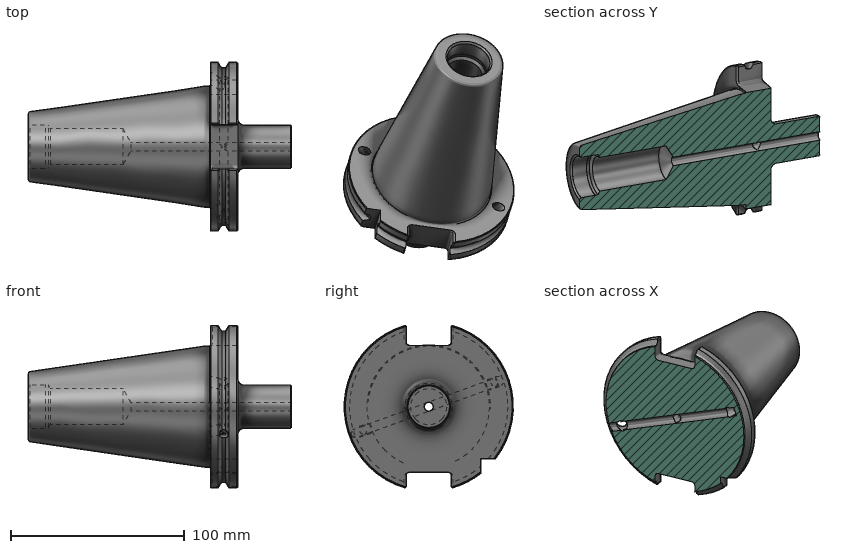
import cadquery as cq
import math

TOTAL_LENGTH = 151.6

GAUGE_LENGTH = 101.7
GAUGE_RADIUS = 69.9 / 2
TAPER = 7 / 24
SMALL_END_RADIUS = GAUGE_RADIUS - GAUGE_LENGTH * TAPER / 2
SMALL_END_FILLET = 1.8

FLANGE_START = 104.9
FLANGE_END = 120.8
FLANGE_LENGTH = FLANGE_END - FLANGE_START
FLANGE_RADIUS = 97.5 / 2
FLANGE_FRONT_CHAMFER = 0.5
FLANGE_REAR_CHAMFER = 0.8
COLLAR_FILLET = 0.6
GROOVE_START = 109.3
GROOVE_END = 115.7
GROOVE_DEPTH = 3.2
GROOVE_FRONT_CHAMFER = 0.9
GROOVE_REAR_CHAMFER = 0.5
GROOVE_WALL_SLOPE = math.tan(math.radians(30))

SPIGOT_RADIUS = 25.0 / 2
SPIGOT_CHAMFER = 0.6
SPIGOT_ROOT_RADIUS = 3.5

BORE_MOUTH_CHAMFER = 1.0
BORE_RADIUS = 25.0 / 2
BORE_DEPTH = 10.0
PILOT_RADIUS = 24.7 / 2
PILOT_END = 11.7
THREAD_RADIUS = 20.8 / 2
THREAD_END = 54.6
COOLANT_RADIUS = 5.0 / 2
CONE_SLOPE = math.tan(math.radians(30))

SLOT_WIDTH = 25.8
SLOT_FLOOR_TOP = 35.3
SLOT_FLOOR_BOTTOM = 37.7
SLOT_CORNER_FILLET = 2.0
SLOT_FACE_BEVEL = 1.2
SLOT_RIM_BEVEL = 0.8
NOTCH_OFFSET = 30.0

CHANNEL_ANGLE = 20.0
FACE_HOLE_DISTANCE = 42.0
FACE_HOLE_DIAMETER = 6.0
FACE_HOLE_TILT = 33.0
CROSS_HOLE_DIAMETER = 5.0
CROSS_HOLE_X = 112.6


def make_turned_body():
    groove_radius = FLANGE_RADIUS - GROOVE_DEPTH
    front_corner_drop = GROOVE_DEPTH - GROOVE_FRONT_CHAMFER
    front_corner_x = GROOVE_START + front_corner_drop * GROOVE_WALL_SLOPE
    rear_corner_drop = GROOVE_DEPTH - GROOVE_REAR_CHAMFER
    rear_corner_x = GROOVE_END - rear_corner_drop * GROOVE_WALL_SLOPE
    collar_45 = COLLAR_FILLET * (1 - math.sqrt(0.5))
    root_45 = SPIGOT_ROOT_RADIUS * (1 - math.sqrt(0.5))
    outline = (
        cq.Workplane("XZ")
        .lineTo(0, SMALL_END_RADIUS)
        .lineTo(GAUGE_LENGTH, GAUGE_RADIUS)
        .lineTo(FLANGE_START - COLLAR_FILLET, GAUGE_RADIUS)
        .threePointArc(
            (FLANGE_START - collar_45, GAUGE_RADIUS + collar_45),
            (FLANGE_START, GAUGE_RADIUS + COLLAR_FILLET),
        )
        .lineTo(FLANGE_START, FLANGE_RADIUS - FLANGE_FRONT_CHAMFER)
        .lineTo(FLANGE_START + FLANGE_FRONT_CHAMFER, FLANGE_RADIUS)
        .lineTo(GROOVE_START, FLANGE_RADIUS)
        .lineTo(front_corner_x, FLANGE_RADIUS - front_corner_drop)
        .lineTo(front_corner_x + GROOVE_FRONT_CHAMFER, groove_radius)
        .lineTo(rear_corner_x - GROOVE_REAR_CHAMFER, groove_radius)
        .lineTo(rear_corner_x, FLANGE_RADIUS - rear_corner_drop)
        .lineTo(GROOVE_END, FLANGE_RADIUS)
        .lineTo(FLANGE_END - FLANGE_REAR_CHAMFER, FLANGE_RADIUS)
        .lineTo(FLANGE_END, FLANGE_RADIUS - FLANGE_REAR_CHAMFER)
        .lineTo(FLANGE_END, SPIGOT_RADIUS + SPIGOT_ROOT_RADIUS)
        .threePointArc(
            (FLANGE_END + root_45, SPIGOT_RADIUS + root_45),
            (FLANGE_END + SPIGOT_ROOT_RADIUS, SPIGOT_RADIUS),
        )
        .lineTo(TOTAL_LENGTH - SPIGOT_CHAMFER, SPIGOT_RADIUS)
        .lineTo(TOTAL_LENGTH, SPIGOT_RADIUS - SPIGOT_CHAMFER)
        .lineTo(TOTAL_LENGTH, 0)
        .close()
    )
    body = outline.revolve(360, (0, 0, 0), (1, 0, 0))
    return body.faces("<X").edges().fillet(SMALL_END_FILLET)


def make_bore():
    countersink_end = PILOT_END + (PILOT_RADIUS - THREAD_RADIUS) * CONE_SLOPE
    drill_point_end = THREAD_END + (THREAD_RADIUS - COOLANT_RADIUS) * CONE_SLOPE
    outline = (
        cq.Workplane("XZ")
        .lineTo(0, BORE_RADIUS + BORE_MOUTH_CHAMFER)
        .lineTo(BORE_MOUTH_CHAMFER, BORE_RADIUS)
        .lineTo(BORE_DEPTH, BORE_RADIUS)
        .lineTo(BORE_DEPTH, PILOT_RADIUS)
        .lineTo(PILOT_END, PILOT_RADIUS)
        .lineTo(countersink_end, THREAD_RADIUS)
        .lineTo(THREAD_END, THREAD_RADIUS)
        .lineTo(drill_point_end, COOLANT_RADIUS)
        .lineTo(TOTAL_LENGTH, COOLANT_RADIUS)
        .lineTo(TOTAL_LENGTH, 0)
        .close()
    )
    return outline.revolve(360, (0, 0, 0), (1, 0, 0))


def flange_box(y_min, y_max, z_min, z_max):
    """Box through the full thickness of the flange."""
    size = (FLANGE_LENGTH, y_max - y_min, z_max - z_min)
    return cq.Workplane("XY").box(*size, centered=False).translate((FLANGE_START, y_min, z_min))


def slot_outline(plane, floor, half_width, corner):
    """Slot section above the axis, with rounded floor corners and open past the rim."""
    mouth = FLANGE_RADIUS + 1.5
    corner_45 = corner * (1 - math.sqrt(0.5))
    return (
        plane.moveTo(-half_width, mouth)
        .lineTo(-half_width, floor + corner)
        .threePointArc((-half_width + corner_45, floor + corner_45), (-half_width + corner, floor))
        .lineTo(half_width - corner, floor)
        .threePointArc((half_width - corner_45, floor + corner_45), (half_width, floor + corner))
        .lineTo(half_width, mouth)
        .close()
    )


def make_drive_slot(floor):
    """Slot above the axis, its walls bevelled at the flange face and at the rim."""
    half_width = SLOT_WIDTH / 2
    face_plane = cq.Workplane("YZ", origin=(FLANGE_START, 0, 0))
    slot = slot_outline(face_plane, floor, half_width, SLOT_CORNER_FILLET).extrude(FLANGE_LENGTH)

    flare = slot_outline(
        face_plane, floor, half_width + SLOT_FACE_BEVEL, SLOT_CORNER_FILLET + SLOT_FACE_BEVEL
    )
    inner_plane = flare.workplane(offset=SLOT_FACE_BEVEL)
    flare = slot_outline(inner_plane, floor, half_width, SLOT_CORNER_FILLET).loft(ruled=True)

    rim_half_width = half_width + SLOT_RIM_BEVEL
    rim_z = math.sqrt(FLANGE_RADIUS**2 - rim_half_width**2)
    wedge_tip = rim_z - rim_half_width
    rim_bevel = (
        face_plane.moveTo(0, wedge_tip)
        .lineTo(FLANGE_RADIUS, wedge_tip + FLANGE_RADIUS)
        .lineTo(-FLANGE_RADIUS, wedge_tip + FLANGE_RADIUS)
        .close()
        .extrude(FLANGE_LENGTH)
    )
    above_floor = flange_box(-FLANGE_RADIUS, FLANGE_RADIUS, floor + SLOT_CORNER_FILLET, FLANGE_RADIUS)
    rim_bevel = rim_bevel.intersect(above_floor)
    return slot.union(flare).union(rim_bevel)


def make_coolant_channels():
    """Two slanted face holes joined by one cross hole that is drilled from the groove on the -Y side."""
    tilt = math.radians(FACE_HOLE_TILT)
    direction = cq.Vector(math.cos(tilt), -math.sin(tilt), 0)
    mouth = cq.Vector(FLANGE_START, FACE_HOLE_DISTANCE, 0)
    length = (CROSS_HOLE_X - FLANGE_START) / math.cos(tilt)
    lead_in = FACE_HOLE_DIAMETER
    face_hole = cq.Workplane(
        cq.Solid.makeCylinder(
            FACE_HOLE_DIAMETER / 2, length + lead_in, mouth - direction * lead_in, direction
        )
    )
    cross_hole = cq.Workplane(
        cq.Solid.makeCylinder(
            CROSS_HOLE_DIAMETER / 2,
            FLANGE_RADIUS + FACE_HOLE_DISTANCE,
            cq.Vector(CROSS_HOLE_X, -FLANGE_RADIUS, 0),
            cq.Vector(0, 1, 0),
        )
    )
    channels = cross_hole.union(face_hole).union(face_hole.rotate((0, 0, 0), (1, 0, 0), 180))
    return channels.rotate((0, 0, 0), (1, 0, 0), CHANNEL_ANGLE)


body = make_turned_body()
body = body.cut(make_drive_slot(SLOT_FLOOR_TOP))
body = body.cut(make_drive_slot(SLOT_FLOOR_BOTTOM).mirror("XY"))
body = body.cut(flange_box(NOTCH_OFFSET, FLANGE_RADIUS, -FLANGE_RADIUS, -NOTCH_OFFSET))
body = body.cut(make_bore())
result = body.cut(make_coolant_channels())